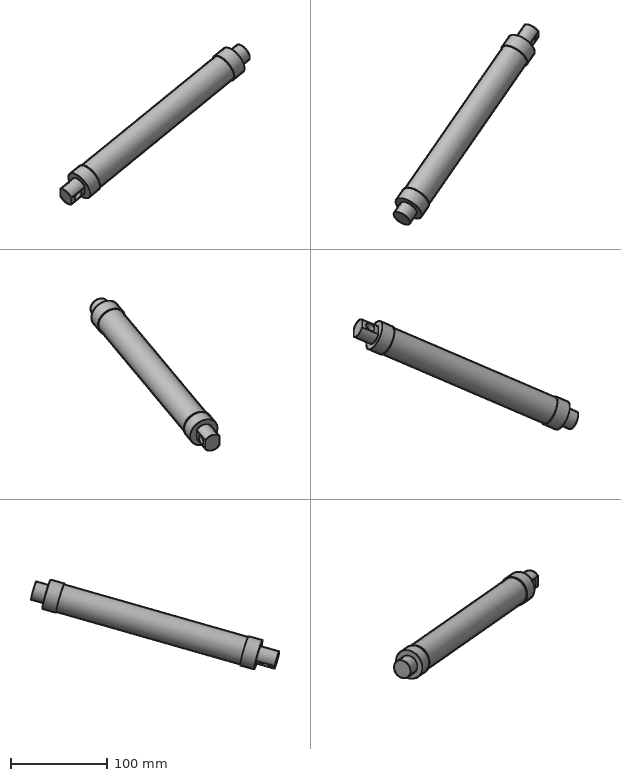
import cadquery as cq

total_length = 264.0
collar_diameter = 32.0
collar_length = 15.0
tube_diameter = 30.0
stud_diameter = 20.0
eye_length = 20.0
rear_stud_length = 14.0
eye_width = 16.5
pin_hole_diameter = 10.0

front_end = -total_length / 2
rear_end = total_length / 2
front_collar_start = front_end + eye_length
front_collar_end = front_collar_start + collar_length
rear_collar_end = rear_end - rear_stud_length
rear_collar_start = rear_collar_end - collar_length


def cylinder_along_y(diameter, y_start, y_end):
    """Solid cylinder on the Y axis between two stations."""
    base = cq.Workplane("XZ", origin=(0, y_start, 0))
    return base.circle(diameter / 2).extrude(y_start - y_end)


def rod_eye():
    """Front stud with two flats facing X and a cross hole for a pin."""
    eye_center = front_end + eye_length / 2
    stud = cylinder_along_y(stud_diameter, front_end, front_collar_start)
    flats = cq.Workplane("XY").box(eye_width, eye_length, stud_diameter).translate((0, eye_center, 0))
    pin_hole = (
        cq.Workplane("YZ")
        .center(eye_center, 0)
        .circle(pin_hole_diameter / 2)
        .extrude(eye_width, both=True)
    )
    return stud.intersect(flats).cut(pin_hole)


tube = cylinder_along_y(tube_diameter, front_collar_end, rear_collar_start)
front_collar = cylinder_along_y(collar_diameter, front_collar_start, front_collar_end)
rear_collar = cylinder_along_y(collar_diameter, rear_collar_start, rear_collar_end)
rear_stud = cylinder_along_y(stud_diameter, rear_collar_end, rear_end)

result = tube.union(front_collar).union(rear_collar).union(rear_stud).union(rod_eye())